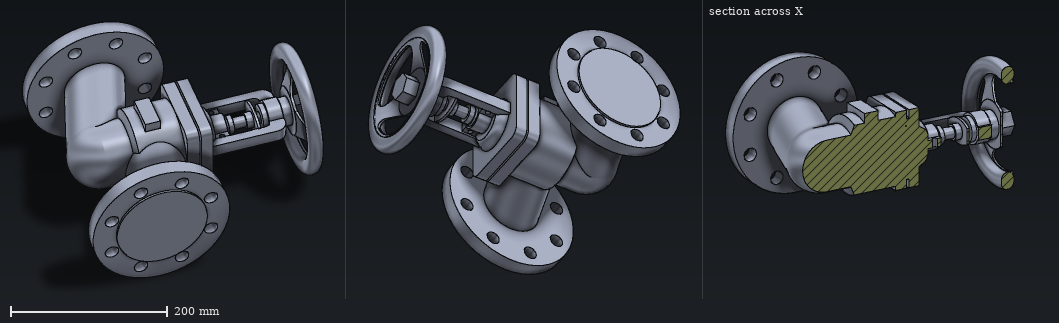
import cadquery as cq
import math

face_to_face = 290.0
flange_diameter = 185.0
flange_thickness = 20.0
raised_face_diameter = 122.0
raised_face_height = 3.0
bolt_circle_diameter = 145.0
bolt_hole_diameter = 18.0
bolt_hole_count = 8

pipe_radius = 39.0
pipe_tilt = 17.5
pipe_axis_start = 125.5
pipe_overlap = 15.0

elbow_radius = 42.0
elbow_center_y = -37.0
body_radius = 53.0
body_cone_bottom_y = -1.5
body_cone_top_y = 3.5
body_flange_bottom_y = 64.6
body_flange_top_y = 81.5
cover_bottom_y = 84.0
cover_top_y = 99.5
cover_side = 108.0
cover_corner_radius = 13.5
gasket_radius = 47.3

pad_width = 44.5
pad_height = 20.3
pad_center_y = 28.7
pad_top_z = 61.5

dome_base_radius = 36.0
dome_step_radius = 34.5
dome_step_y = 102.0
dome_shoulder_radius = 32.0
dome_shoulder_y = 107.0
dome_top_radius = 26.0
dome_top_y = 113.0
gland_radius = 17.0
gland_top_y = 132.5
packing_ring_radius = 14.0
packing_ring_top_y = 135.8
packing_nut_radius = 12.5
packing_nut_top_y = 143.0

stem_radius = 8.0
stem_collar_radius = 10.8
stem_collar_bottom_y = 160.5
indicator_bottom_y = 170.0
indicator_thickness = 3.6
indicator_half_depth = 17.4
indicator_end_half_depth = 8.0

yoke_width = 77.5
yoke_inner_width = 53.0
yoke_depth = 18.0
yoke_top_y = 207.0
yoke_opening_top_y = 187.5
yoke_outer_fillet = 14.4
yoke_inner_fillet = 8.0
web_depth = 12.0
web_hole_radius = 3.3
web_hole_x = 21.9
web_hole_y = 122.7

hub_radius = 21.0
hub_lower_radius = 17.4
hub_lower_bottom_y = 180.4
hub_upper_radius = 19.2

overall_top_y = 242.85
nut_across_flats = 33.0
wheel_hub_radius = 32.5
wheel_hub_bottom_y = 219.2
wheel_outer_radius = 87.5
rim_height = 19.2
rim_center_y = 230.2
rim_inner_arc_center = 73.8
rim_outer_arc_radius = 9.0
spoke_count = 3
window_start_angle = 30.0
window_root_radius = 31.5
window_end_offset = 39.0
window_end_half_width = 52.0
window_corner_fillet = 8.0
spoke_thickness = 3.5
spoke_root_y = 219.6
spoke_tip_radius = 68.0
spoke_tip_y = 236.0


def cylinder(radius, bottom_y, top_y):
    """Solid cylinder on the stem axis."""
    plane = cq.Workplane(cq.Plane((0, bottom_y, 0), (1, 0, 0), (0, 1, 0)))
    return plane.circle(radius).extrude(top_y - bottom_y)


def turned(profile):
    """Revolve a half profile lying at X >= 0 about the stem axis."""
    return profile.close().revolve(360, (0, 0, 0), (0, 1, 0))


def block(size_x, bottom_y, top_y, size_z):
    """Box centred on the stem axis in X and Z."""
    center_y = (bottom_y + top_y) / 2
    return cq.Workplane("XY").box(size_x, top_y - bottom_y, size_z).translate((0, center_y, 0))


def pipe_flange(side):
    """Bolted flange with a raised face; side is -1 for the -X end and +1 for the +X end."""
    rim_x = face_to_face / 2 - raised_face_height
    inner_x = rim_x - flange_thickness
    plane = cq.Workplane(cq.Plane((side * inner_x, 0, 0), (0, 1, 0), (side, 0, 0)))
    flange = plane.circle(flange_diameter / 2).extrude(flange_thickness)
    raised = plane.circle(raised_face_diameter / 2).extrude(flange_thickness + raised_face_height)
    half_pitch = 180.0 / bolt_hole_count
    holes = (
        plane.polarArray(bolt_circle_diameter / 2, half_pitch, 360, bolt_hole_count)
        .circle(bolt_hole_diameter / 2)
        .extrude(flange_thickness)
    )
    return flange.cut(holes).union(raised)


def inclined_pipe(side):
    """Pipe from a flange to the foot of the perpendicular dropped from the elbow center."""
    tilt = math.radians(pipe_tilt)
    direction = cq.Vector(-side * math.cos(tilt), side * math.sin(tilt), 0)
    start = cq.Vector(side * pipe_axis_start, 0, 0)
    to_center = cq.Vector(0, -side * elbow_center_y, 0) - start
    length = to_center.dot(direction) + pipe_overlap
    plane = cq.Plane(start - direction * pipe_overlap, (0, 0, 1), direction)
    pipe = cq.Workplane(plane).circle(pipe_radius).extrude(length)
    flange_rim_x = face_to_face / 2 - raised_face_height
    between_rims = cq.Workplane("XY").box(2 * flange_rim_x, flange_diameter, flange_diameter)
    return pipe.intersect(between_rims)


def square_flange(bottom_y, top_y):
    """Square plate with rounded corners on the stem axis."""
    return block(cover_side, bottom_y, top_y, cover_side).edges("|Y").fillet(cover_corner_radius)


def valve_body():
    bowl = turned(
        cq.Workplane("XY")
        .moveTo(0, elbow_center_y - elbow_radius)
        .radiusArc((elbow_radius, elbow_center_y), -elbow_radius)
        .lineTo(elbow_radius, body_cone_bottom_y)
        .lineTo(body_radius, body_cone_top_y)
        .lineTo(body_radius, body_flange_top_y)
        .lineTo(0, body_flange_top_y)
    )
    pad_bottom_y = pad_center_y - pad_height / 2
    pad = cq.Workplane("XY").box(pad_width, pad_height, pad_top_z, centered=(True, False, False))
    body = bowl.union(pad.translate((0, pad_bottom_y, 0)))
    for side in (-1, 1):
        body = body.union(pipe_flange(side)).union(inclined_pipe(side))
    return body.union(square_flange(body_flange_bottom_y, body_flange_top_y))


def bonnet():
    cover = square_flange(cover_bottom_y, cover_top_y)
    gasket = cylinder(gasket_radius, body_flange_top_y, cover_bottom_y)
    shoulder_drop = dome_top_y - dome_shoulder_y
    dome = turned(
        cq.Workplane("XY")
        .moveTo(0, cover_top_y)
        .lineTo(dome_base_radius, cover_top_y)
        .lineTo(dome_step_radius, dome_step_y)
        .lineTo(dome_shoulder_radius, dome_shoulder_y)
        .radiusArc((dome_top_radius, dome_top_y), -2 * shoulder_drop)
        .lineTo(0, dome_top_y)
    )
    gland = cylinder(gland_radius, cover_top_y, gland_top_y)
    ring = cylinder(packing_ring_radius, gland_top_y, packing_ring_top_y)
    nut = cylinder(packing_nut_radius, packing_ring_top_y, packing_nut_top_y)
    return cover.union(gasket).union(dome).union(gland).union(ring).union(nut)


def yoke():
    arch = block(yoke_width, cover_top_y, yoke_top_y, yoke_depth)
    arch = arch.edges("|Z and >Y").fillet(yoke_outer_fillet)
    opening = block(yoke_inner_width, cover_top_y, yoke_opening_top_y, yoke_depth)
    opening = opening.edges("|Z and >Y").fillet(yoke_inner_fillet)
    web = block(yoke_inner_width, cover_top_y, gland_top_y, web_depth)
    holes = (
        cq.Workplane("XY")
        .pushPoints([(-web_hole_x, web_hole_y), (web_hole_x, web_hole_y)])
        .circle(web_hole_radius)
        .extrude(web_depth, both=True)
    )
    hub = cylinder(hub_radius, yoke_opening_top_y, yoke_top_y)
    hub_lower = cylinder(hub_lower_radius, hub_lower_bottom_y, yoke_top_y)
    hub_upper = cylinder(hub_upper_radius, yoke_top_y, wheel_hub_bottom_y)
    return arch.cut(opening).union(web.cut(holes)).union(hub).union(hub_lower).union(hub_upper)


def stem():
    """Threaded rod with its collar and the travel indicator plate between the yoke legs."""
    rod = cylinder(stem_radius, packing_nut_top_y, hub_lower_bottom_y)
    collar = cylinder(stem_collar_radius, stem_collar_bottom_y, indicator_bottom_y)
    half_width = yoke_inner_width / 2
    plate_plane = cq.Plane((0, indicator_bottom_y, 0), (0, 0, 1), (0, 1, 0))
    plate = (
        cq.Workplane(plate_plane)
        .moveTo(indicator_end_half_depth, half_width)
        .threePointArc((indicator_half_depth, 0), (indicator_end_half_depth, -half_width))
        .lineTo(-indicator_end_half_depth, -half_width)
        .threePointArc((-indicator_half_depth, 0), (-indicator_end_half_depth, half_width))
        .close()
        .extrude(indicator_thickness)
    )
    return rod.union(collar).union(plate)


def wheel_rim():
    """Ring with a rounded inner side and two smaller arcs meeting a narrow outer band."""
    half_height = rim_height / 2
    outer_arc_center = wheel_outer_radius - rim_outer_arc_radius
    band_half = half_height - rim_outer_arc_radius
    top_y = rim_center_y + half_height
    bottom_y = rim_center_y - half_height
    return turned(
        cq.Workplane("XY")
        .moveTo(rim_inner_arc_center, top_y)
        .lineTo(outer_arc_center, top_y)
        .radiusArc((wheel_outer_radius, rim_center_y + band_half), rim_outer_arc_radius)
        .lineTo(wheel_outer_radius, rim_center_y - band_half)
        .radiusArc((outer_arc_center, bottom_y), rim_outer_arc_radius)
        .lineTo(rim_inner_arc_center, bottom_y)
        .threePointArc((rim_inner_arc_center - half_height, rim_center_y), (rim_inner_arc_center, top_y))
    )


def wheel_spokes():
    """Spokes cut from a dished disc that falls back from the hub toward the rim."""
    dish = turned(
        cq.Workplane("XY")
        .moveTo(0, spoke_root_y)
        .lineTo(wheel_hub_radius, spoke_root_y)
        .lineTo(spoke_tip_radius, spoke_tip_y)
        .lineTo(spoke_tip_radius, spoke_tip_y + spoke_thickness)
        .lineTo(wheel_hub_radius, spoke_root_y + spoke_thickness)
        .lineTo(0, spoke_root_y + spoke_thickness)
    )
    opening_radius = rim_inner_arc_center - rim_height / 2
    opening = cylinder(opening_radius, spoke_root_y, spoke_tip_y + spoke_thickness)
    plane = cq.Plane((0, spoke_root_y, 0), (0, 0, 1), (0, 1, 0))
    window = (
        cq.Workplane(plane)
        .moveTo(window_end_offset, -window_end_half_width)
        .threePointArc((window_root_radius, 0), (window_end_offset, window_end_half_width))
        .lineTo(wheel_outer_radius, window_end_half_width)
        .lineTo(wheel_outer_radius, -window_end_half_width)
        .close()
        .extrude(spoke_tip_y + spoke_thickness - spoke_root_y)
        .intersect(opening)
    )
    window = window.edges("|Y").fillet(window_corner_fillet)
    for index in range(spoke_count):
        angle = window_start_angle + index * 360 / spoke_count
        dish = dish.cut(window.rotate((0, 0, 0), (0, 1, 0), angle))
    return dish


def handwheel():
    hub = cylinder(wheel_hub_radius, wheel_hub_bottom_y, spoke_root_y + spoke_thickness)
    nut_plane = cq.Workplane(cq.Plane((0, wheel_hub_bottom_y, 0), (1, 0, 0), (0, 1, 0)))
    nut_across_corners = nut_across_flats / math.cos(math.pi / 6)
    nut = nut_plane.polygon(6, nut_across_corners).extrude(overall_top_y - wheel_hub_bottom_y)
    return wheel_rim().union(wheel_spokes()).union(hub).union(nut)


result = valve_body().union(bonnet()).union(yoke()).union(stem()).union(handwheel())